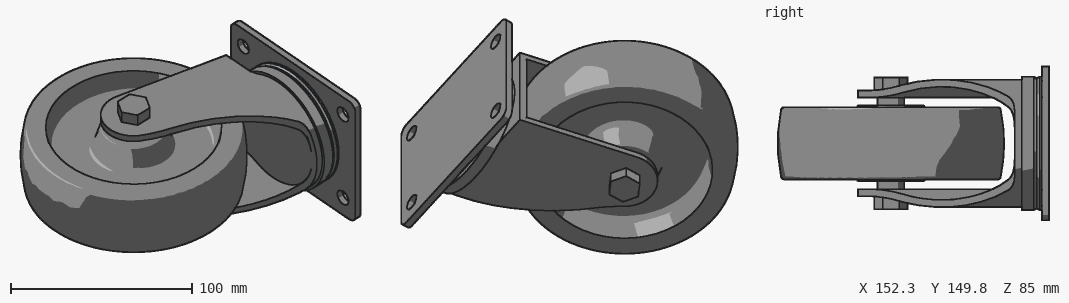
import cadquery as cq
import math


plate_length = 100.0
plate_width = 85.0
plate_thickness = 4.0
plate_corner_radius = 5.0
plate_top = 87.3
hole_diameter = 9.0
hole_spacing_x = 80.0
hole_spacing_z = 60.0
swivel_offset = 39.8

collar_diameter = 73.6
collar_height = 11.1
groove_depth = 0.8
groove_start = 1.2
groove_width = 3.4

fork_thickness = 4.0
fork_leg_outer = 29.25
fork_round_radius = 35.2
fork_bend_radius = 25.4
fork_end_radius = 18.2
fork_front_x = -2.1
fork_slope_angle = 57.0
fork_tail_fillet = 8.0

wheel_radius = 62.5
wheel_width = 40.0
tread_edge_radius = 60.3
tread_edge_fillet = 2.0
rim_inner_radius = 48.5
rim_foot_radius = 46.0
web_half_thickness = 6.3
web_fillet = 4.0
hub_foot_radius = 22.6
hub_face_radius = 18.4
hub_half_width = 20.9
hub_edge_fillet = 1.0

spacer_diameter = 15.02
bolt_across_flats = 16.0
bolt_end = 36.4

plate_bottom = plate_top - plate_thickness
fork_top = plate_bottom - collar_height
fork_tail_bottom = fork_top - fork_thickness


def make_plate():
    """Rounded rectangular plate with four bolt holes, centred on the swivel axis."""
    plate = (
        cq.Workplane("XY")
        .box(plate_length, plate_thickness, plate_width)
        .edges("|Y")
        .fillet(plate_corner_radius)
        .faces(">Y")
        .workplane()
        .rarray(hole_spacing_x, hole_spacing_z, 2, 2)
        .hole(hole_diameter)
    )
    return plate.translate((swivel_offset, plate_top - plate_thickness / 2, 0))


def make_collar():
    """Turned collar with a V groove, revolved about the swivel axis."""
    collar_radius = collar_diameter / 2
    groove_top = plate_bottom - groove_start
    groove_bottom = groove_top - groove_width
    profile = [
        (0, plate_bottom),
        (collar_radius, plate_bottom),
        (collar_radius, groove_top),
        (collar_radius - groove_depth, (groove_top + groove_bottom) / 2),
        (collar_radius, groove_bottom),
        (collar_radius, fork_top),
        (0, fork_top),
    ]
    collar = cq.Workplane("XY").polyline(profile).close().revolve(360, (0, 0, 0), (0, 1, 0))
    return collar.translate((swivel_offset, 0, 0))


def fork_footprint(inset):
    """Block seen along Y: two straight legs that bend out into a round back.

    The inset moves the whole contour inwards, keeping the bends concentric.
    """
    leg = fork_leg_outer - inset
    round_radius = fork_round_radius - inset
    bend_radius = fork_bend_radius + inset
    bend_center_z = leg + bend_radius
    bend_reach = math.sqrt((round_radius + bend_radius) ** 2 - bend_center_z**2)
    bend_start_x = swivel_offset - bend_reach
    bend_angle = math.asin(bend_reach / (round_radius + bend_radius))

    def bend_point(angle):
        x = bend_start_x + bend_radius * math.sin(angle)
        z = bend_center_z - bend_radius * math.cos(angle)
        return x, z

    bend_mid = bend_point(bend_angle / 2)
    bend_end = bend_point(bend_angle)
    open_end_x = -2 * fork_end_radius

    return (
        cq.Workplane("XZ")
        .moveTo(open_end_x, -leg)
        .lineTo(bend_start_x, -leg)
        .threePointArc((bend_mid[0], -bend_mid[1]), (bend_end[0], -bend_end[1]))
        .threePointArc((swivel_offset + round_radius, 0), bend_end)
        .threePointArc(bend_mid, (bend_start_x, leg))
        .lineTo(open_end_x, leg)
        .close()
    )


def fork_side_block():
    """Side outline of the fork legs, extruded through the full fork width."""
    corner_distance = math.hypot(fork_front_x, fork_top)
    corner_angle = math.atan2(fork_top, fork_front_x)
    front_angle = corner_angle + math.acos(fork_end_radius / corner_distance)
    slope = math.radians(fork_slope_angle)
    back_angle = slope - math.pi / 2

    def end_point(angle):
        return fork_end_radius * math.cos(angle), fork_end_radius * math.sin(angle)

    fillet_center_y = fork_tail_bottom - fork_tail_fillet
    center_gap = fork_end_radius + fork_tail_fillet
    fillet_center_x = (center_gap + fillet_center_y * math.cos(slope)) / math.sin(slope)

    def fillet_point(angle):
        x = fillet_center_x + fork_tail_fillet * math.cos(angle)
        y = fillet_center_y + fork_tail_fillet * math.sin(angle)
        return x, y

    tail_end_x = swivel_offset + 2 * fork_round_radius
    outline = (
        cq.Workplane("XY")
        .moveTo(fork_front_x, fork_top)
        .lineTo(*end_point(front_angle))
        .threePointArc(end_point(-math.pi / 2), end_point(back_angle))
        .lineTo(*fillet_point(math.pi / 2 + slope))
        .threePointArc(fillet_point((math.pi + slope) / 2), (fillet_center_x, fork_tail_bottom))
        .lineTo(tail_end_x, fork_tail_bottom)
        .lineTo(tail_end_x, fork_top)
        .close()
    )
    return outline.extrude(2 * fork_round_radius, both=True)


def make_fork():
    """Sheet fork: a bent wall closed by a flat crown at the top."""
    height = fork_top + fork_end_radius
    outer = fork_footprint(0).extrude(height).translate((0, fork_top, 0))
    inner = fork_footprint(fork_thickness).extrude(height).translate((0, fork_top - fork_thickness, 0))
    return outer.cut(inner).intersect(fork_side_block())


def circles_at(z):
    """Selector for the wheel's circular edges centred on the axle at height z."""
    reach = hub_edge_fillet / 10
    return cq.selectors.BoxSelector((-reach, -reach, z - reach), (reach, reach, z + reach))


def make_wheel():
    """Wheel with crowned tread, recessed webs and conical hub, the same on both sides."""
    half_width = wheel_width / 2
    upper_side = [
        (tread_edge_radius, half_width),
        (rim_inner_radius, half_width),
        (rim_foot_radius, web_half_thickness),
        (hub_foot_radius, web_half_thickness),
        (hub_face_radius, hub_half_width),
    ]
    lower_side = [(radius, -z) for radius, z in reversed(upper_side)]
    wheel = (
        cq.Workplane("XZ")
        .moveTo(0, -hub_half_width)
        .polyline(lower_side, includeCurrent=True)
        .threePointArc((wheel_radius, 0), upper_side[0])
        .polyline(upper_side[1:], includeCurrent=True)
        .lineTo(0, hub_half_width)
        .close()
        .revolve(360, (0, 0, 0), (0, 1, 0))
    )
    for side in (1, -1):
        wheel = wheel.edges(circles_at(side * web_half_thickness)).fillet(web_fillet)
        wheel = wheel.edges(circles_at(side * hub_half_width)).fillet(hub_edge_fillet)
        tread_edge = cq.selectors.RadiusNthSelector(-1)
        wheel = wheel.edges(circles_at(side * half_width)).edges(tread_edge).fillet(tread_edge_fillet)
    return wheel


def make_axle():
    """Round spacer across the fork with a hexagonal bolt head at each end."""
    spacer = cq.Workplane("XY").circle(spacer_diameter / 2).extrude(fork_leg_outer, both=True)
    hexagon_turn = 30
    bolt_across_corners = bolt_across_flats / math.cos(math.radians(hexagon_turn))
    head = (
        cq.Workplane("XY")
        .polygon(6, bolt_across_corners)
        .extrude(bolt_end - fork_leg_outer)
        .rotate((0, 0, 0), (0, 0, 1), hexagon_turn)
        .translate((0, 0, fork_leg_outer))
    )
    return spacer.union(head).union(head.mirror("XY"))


result = make_plate().union(make_collar()).union(make_fork()).union(make_axle()).union(make_wheel())